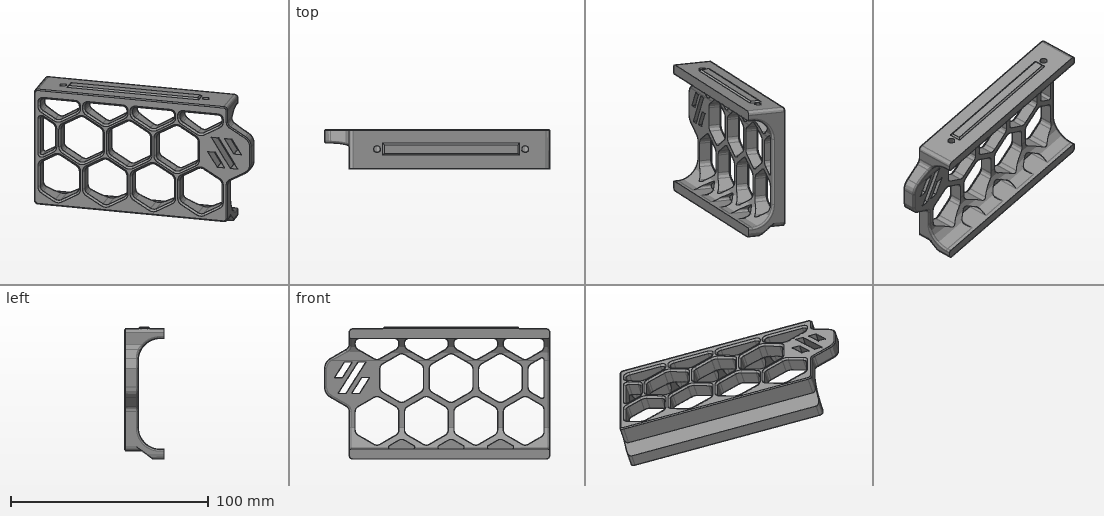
import cadquery as cq
import math


body_length = 101.6
body_depth = 20.0
body_height = 66.0
corner_radius = 2.0
panel_thickness = 7.0
lip_thickness = 5.0
cavity_radius = 11.0
cavity_edge_fillet = 1.0
back_rim_chamfer = 0.6

rear_bottom = 4.2
lip_flat_depth = 5.6
slope_end_depth = 11.2

tab_reach = 12.4
tab_center_height = 41.1
tab_tip_height = 16.2
tab_angle = math.radians(30)
tab_tip_radius = 6.0
tab_root_radius = 3.0

hex_width = 22.0
hex_gap = 3.0
hex_corner_radius = 3.0
end_border = 3.0
hex_back_chamfer = 1.0
clipped_corner_radius = 1.0
upper_corner_radius = 2.0
honeycomb_center_height = 41.0
columns = 4
pocket_depth = 12.5

slot_width = 3.9
slot_lean_per_height = 0.635
slot_pitch = 6.87
slot_length = 15.8
slot_center_x = 1.47
slot_center_height = 41.2

rail_center_x = 51.6
rail_length = 69.2
rail_width = 6.0
rail_height = 0.8
rail_side_angle = 45
screw_hole_diameter = 3.4
screw_hole_spacing = 75.0

cavity_depth = body_depth - panel_thickness
cavity_height = body_height - 2 * lip_thickness
cavity_top = body_height - lip_thickness
right_limit = body_length - end_border
hex_pitch = hex_width + hex_gap
row_pitch = hex_pitch * math.cos(math.radians(30))
hex_side_half = hex_width / 2 * math.tan(math.radians(30))
hex_point_half = 2 * hex_side_half
margin = 5.0
select_gap = 0.3


def front_prism(points, near, far):
    """Extrude an XZ outline from depth near to depth far along +Y."""
    return cq.Workplane("XZ", origin=(0, near, 0)).polyline(points).close().extrude(near - far)


def side_prism(points):
    """Extrude a YZ outline across the body and the tab along X."""
    start = -tab_reach - margin
    length = body_length + tab_reach + 2 * margin
    return cq.Workplane("YZ", origin=(start, 0, 0)).polyline(points).close().extrude(length)


def rounded_block(bottom):
    """Full-depth block from the given height to the body top, rounded along Y."""
    block = cq.Workplane("XY").box(body_length, body_depth, body_height - bottom, centered=False)
    return block.translate((0, 0, bottom)).edges("|Y").fillet(corner_radius)


def make_tab():
    """Side tab with sloping flanks, running into the body."""
    tip_half = tab_tip_height / 2
    root_half = tip_half + (tab_reach + margin) * math.tan(tab_angle)
    mid = tab_center_height
    points = [
        (-tab_reach, mid - tip_half),
        (margin, mid - root_half),
        (margin, mid + root_half),
        (-tab_reach, mid + tip_half),
    ]
    tab = front_prism(points, 0, body_depth)
    return tab.edges("|Y and <X").fillet(tab_tip_radius)


def make_cavity():
    """Channel open to the front, with large rounds along its rear edges."""
    depth = cavity_depth + margin
    length = body_length + tab_reach + 2 * margin
    cavity = cq.Workplane("XY").box(length, depth, cavity_height, centered=False)
    cavity = cavity.translate((-tab_reach - margin, -margin, lip_thickness))
    return cavity.edges("|X and >Y").fillet(cavity_radius)


def make_outer_block():
    """Body with the stepped underside and the tab, before the cavity is cut."""
    slope = rear_bottom / (slope_end_depth - lip_flat_depth)
    slope_rise = (body_depth - lip_flat_depth) * slope
    below_slope = side_prism([(lip_flat_depth, 0), (body_depth, 0), (body_depth, slope_rise)])
    block = rounded_block(0).cut(below_slope).union(rounded_block(rear_bottom)).union(make_tab())
    root_half = tab_tip_height / 2 + tab_reach * math.tan(tab_angle)
    for height in (tab_center_height - root_half, tab_center_height + root_half):
        root = cq.selectors.BoxSelector(
            (-select_gap, -select_gap, height - select_gap),
            (select_gap, body_depth + select_gap, height + select_gap),
            boundingbox=True,
        )
        block = block.edges(root).fillet(tab_root_radius)
    return block


def make_shell():
    """Outer block with the cavity cut and the cavity's end edges rounded."""
    shell = make_outer_block().cut(make_cavity())
    cavity_zone = cq.selectors.BoxSelector(
        (-tab_reach - margin, -select_gap, lip_thickness - select_gap),
        (body_length + margin, cavity_depth + select_gap, cavity_top + select_gap),
        boundingbox=True,
    )
    lengthwise = cq.selectors.ParallelDirSelector(cq.Vector(1, 0, 0))
    return shell.edges(cavity_zone - lengthwise).fillet(cavity_edge_fillet)


def chamfer_back(solid):
    """Chamfer the outer rim of the back face and, with their own size, the rims of its openings."""
    rim = solid.faces(">Y").val().outerWire().Edges()
    solid = solid.newObject(rim).chamfer(back_rim_chamfer)
    openings = [edge for wire in solid.faces(">Y").val().innerWires() for edge in wire.Edges()]
    return solid.newObject(openings).chamfer(hex_back_chamfer)


def hex_points(x, z):
    half = hex_width / 2
    return [
        (x, z + hex_point_half),
        (x + half, z + hex_side_half),
        (x + half, z - hex_side_half),
        (x, z - hex_point_half),
        (x - half, z - hex_side_half),
        (x - half, z + hex_side_half),
    ]


def clipped_hex(x, row, depth):
    """Sharp-cornered hexagonal prism, kept between the lips and inside the +X end border.

    Rows are counted upward from the middle one; the depth is measured from the front.
    """
    z = honeycomb_center_height + row * row_pitch
    window = cq.Workplane("XY").box(right_limit, depth, cavity_height, centered=False)
    return front_prism(hex_points(x, z), 0, depth).intersect(window.translate((0, 0, lip_thickness)))


def round_corners(prism, clipped_side, clipped_radius):
    """Round the corners on the clipped side with their own radius and the others as hexagon corners."""
    others = prism.edges("|Y").edges("not " + clipped_side)
    rounded = others.fillet(hex_corner_radius)
    return rounded.edges("|Y").edges(clipped_side).fillet(clipped_radius)


def make_honeycomb():
    """Three rows of holes; the last hole of the middle row is only a half."""
    holes = []
    for column in range(columns):
        x_middle = body_length - (columns - 1 - column) * hex_pitch
        x_offset = x_middle - hex_pitch / 2
        middle = clipped_hex(x_middle, 0, body_depth)
        is_half = column == columns - 1
        if is_half:
            middle = round_corners(middle, ">X", clipped_corner_radius)
        else:
            middle = middle.edges("|Y").fillet(hex_corner_radius)
        lower = clipped_hex(x_offset, -1, body_depth).edges("|Y").fillet(hex_corner_radius)
        upper = round_corners(clipped_hex(x_offset, 1, body_depth), ">Z", upper_corner_radius)
        holes += [middle, lower, upper]
    return holes


def make_pockets():
    """Blind pockets where the next honeycomb row meets the lower lip."""
    pockets = []
    for column in range(1, columns):
        x = body_length - column * hex_pitch
        pocket = clipped_hex(x, -2, pocket_depth)
        pockets.append(round_corners(pocket, "<Z", clipped_corner_radius))
    return pockets


def slanted_slot(x, bottom, top):
    """Parallelogram slot; x is the middle of the slot at the slot center height."""
    points = []
    for height, side in ((bottom, -1), (bottom, 1), (top, 1), (top, -1)):
        lean = (height - slot_center_height) * slot_lean_per_height
        points.append((x + lean + side * slot_width / 2, height))
    return front_prism(points, 0, body_depth)


def make_rail():
    """Raised rail with its four sides sloping inward."""
    base = cq.Workplane("XY", origin=(rail_center_x, body_depth / 2, body_height))
    return base.rect(rail_length, rail_width).extrude(rail_height, taper=rail_side_angle)


def make_screw_holes():
    """Holes at both ends of the rail, down through the upper lip into the cavity."""
    points = [(side * screw_hole_spacing / 2, 0) for side in (-1, 1)]
    center = (rail_center_x, body_depth / 2, body_height)
    return (
        cq.Workplane("XY", origin=center)
        .pushPoints(points)
        .circle(screw_hole_diameter / 2)
        .extrude(-body_height / 2)
    )


def cut_all(solid, tools):
    for tool in tools:
        solid = solid.cut(tool)
    return solid


slot_bottom = slot_center_height - slot_length / 2
slot_top = slot_center_height + slot_length / 2
body = make_shell()
body = cut_all(body, make_honeycomb())
body = chamfer_back(body)
body = cut_all(body, make_pockets())
body = body.cut(slanted_slot(slot_center_x - slot_pitch, slot_center_height, slot_top))
body = body.cut(slanted_slot(slot_center_x, slot_bottom, slot_top))
body = body.cut(slanted_slot(slot_center_x + slot_pitch, slot_bottom, slot_center_height))
body = body.cut(make_screw_holes())
result = body.union(make_rail())